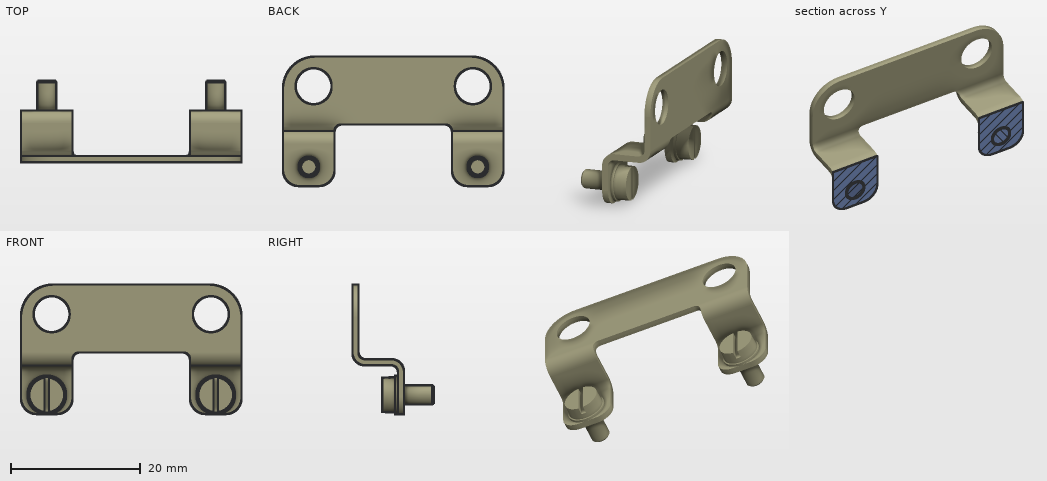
import cadquery as cq

plate_width = 34.0
bracket_height = 20.0
bracket_depth = 8.0
sheet = 1.0
top_corner_radius = 5.0

inner_bend_radius = 1.0
outer_bend_radius = inner_bend_radius + sheet
shelf_bottom = 7.5
shelf_top = shelf_bottom + sheet

leg_width = 8.0
leg_corner_radius = 2.5
window_width = plate_width - 2 * leg_width
window_top = shelf_bottom + outer_bend_radius
window_corner_radius = 1.0

plate_hole_diameter = 5.5
plate_hole_spacing = 24.5
plate_hole_drop = 4.6

screw_spacing = plate_width - leg_width
clearance_diameter = 3.2
washer_diameter = 6.0
washer_thickness = 0.4
screw_z = washer_diameter / 2
shank_diameter = 3.0
shank_length = 6.02
tip_chamfer = 0.3
head_base_diameter = 5.5
head_front_diameter = 5.37
head_height = 2.0
slot_width = 0.75
slot_depth = 1.15

leg_front = bracket_depth - sheet
head_seat = leg_front - washer_thickness
screw_xs = [-screw_spacing / 2, screw_spacing / 2]
plate_hole_xs = [-plate_hole_spacing / 2, plate_hole_spacing / 2]
plate_hole_z = bracket_height - plate_hole_drop


def cylinder_along_y(diameter, y_start, length, x, z):
    """Cylinder that runs from y_start towards +Y."""
    return cq.Workplane("XZ", origin=(x, y_start, z)).circle(diameter / 2).extrude(-length)


def make_bent_sheet():
    """Full-width Z-shaped strip: upper plate, shelf and lower flange."""
    profile = (
        cq.Workplane("YZ", origin=(-plate_width / 2, 0, 0))
        .moveTo(0, bracket_height)
        .lineTo(0, window_top)
        .radiusArc((outer_bend_radius, shelf_bottom), -outer_bend_radius)
        .lineTo(leg_front - inner_bend_radius, shelf_bottom)
        .radiusArc((leg_front, shelf_bottom - inner_bend_radius), inner_bend_radius)
        .lineTo(leg_front, 0)
        .lineTo(bracket_depth, 0)
        .lineTo(bracket_depth, shelf_top - outer_bend_radius)
        .radiusArc((bracket_depth - outer_bend_radius, shelf_top), -outer_bend_radius)
        .lineTo(sheet + inner_bend_radius, shelf_top)
        .radiusArc((sheet, shelf_top + inner_bend_radius), inner_bend_radius)
        .lineTo(sheet, bracket_height)
        .close()
    )
    return profile.extrude(plate_width)


def make_front_outline():
    """Rounded plate with two legs, deep enough to trim the bent sheet."""
    blank = (
        cq.Workplane("XZ", origin=(0, 0, bracket_height / 2))
        .rect(plate_width, bracket_height)
        .extrude(-bracket_depth)
        .edges("|Y and >Z")
        .fillet(top_corner_radius)
    )
    window = (
        cq.Workplane("XZ", origin=(0, 0, window_top / 2))
        .rect(window_width, window_top)
        .extrude(-bracket_depth)
        .edges("|Y and >Z")
        .fillet(window_corner_radius)
    )
    return blank.cut(window).edges("|Y and <Z").fillet(leg_corner_radius)


def make_bracket():
    """Bent sheet trimmed to its front outline, with plate and screw holes."""
    bracket = make_bent_sheet().intersect(make_front_outline())
    for x in plate_hole_xs:
        bracket = bracket.cut(cylinder_along_y(plate_hole_diameter, 0, sheet, x, plate_hole_z))
    for x in screw_xs:
        bracket = bracket.cut(cylinder_along_y(clearance_diameter, leg_front, sheet, x, screw_z))
    return bracket


def make_washer(x):
    """Flat ring between the screw head and the leg."""
    disc = cylinder_along_y(washer_diameter, head_seat, washer_thickness, x, screw_z)
    return disc.cut(cylinder_along_y(clearance_diameter, head_seat, washer_thickness, x, screw_z))


def make_screw(x):
    """Slotted cheese-head screw; the head tapers slightly towards -Y."""
    head_front = head_seat - head_height
    shank = cylinder_along_y(shank_diameter, head_seat, shank_length, x, screw_z)
    shank = shank.faces(">Y").chamfer(tip_chamfer)
    head = (
        cq.Workplane("XZ", origin=(x, head_seat, screw_z))
        .circle(head_base_diameter / 2)
        .workplane(offset=head_height)
        .circle(head_front_diameter / 2)
        .loft(ruled=True)
    )
    slot = cq.Workplane("XY").box(slot_width, slot_depth, head_base_diameter)
    slot = slot.translate((x, head_front + slot_depth / 2, screw_z))
    return head.union(shank).cut(slot)


bracket = make_bracket()
washers = [make_washer(x) for x in screw_xs]
screws = [make_screw(x) for x in screw_xs]

result = cq.Compound.makeCompound(
    [
        bracket.val(),
        *[washer.val() for washer in washers],
        *[screw.val() for screw in screws],
    ]
)